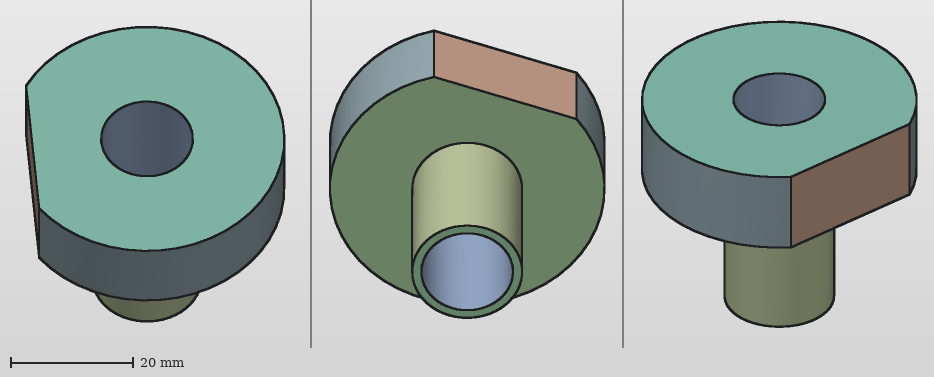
import cadquery as cq

head_diameter = 45.0
head_height = 14.0
stem_diameter = 18.0
stem_length = 25.0
bore_diameter = 15.0
flat_distance = 18.8
flat_direction = 230.0

total_height = stem_length + head_height


def make_stem():
    """Round stem standing on Z = 0."""
    return cq.Workplane("XY").circle(stem_diameter / 2).extrude(stem_length)


def make_flat_cutter():
    """Block covering everything on the head beyond the flat."""
    block = cq.Workplane("XY").workplane(offset=stem_length).box(
        head_diameter, head_diameter, head_height, centered=(False, True, False)
    )
    block = block.translate((flat_distance, 0, 0))
    return block.rotate((0, 0, 0), (0, 0, 1), flat_direction)


def make_head():
    """Disc on top of the stem with one side cut flat."""
    disc = cq.Workplane("XY").workplane(offset=stem_length).circle(head_diameter / 2).extrude(head_height)
    return disc.cut(make_flat_cutter())


def make_bore():
    """Through hole along the axis of the part."""
    return cq.Workplane("XY").circle(bore_diameter / 2).extrude(total_height)


result = make_stem().union(make_head()).cut(make_bore())